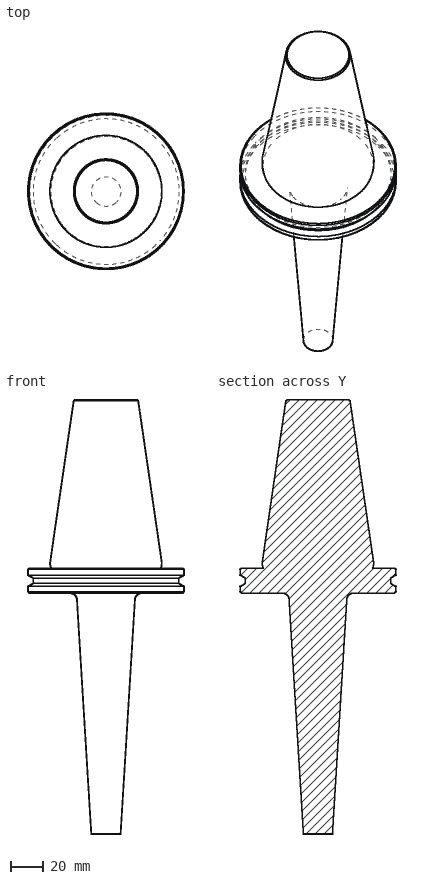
import cadquery as cq
import math

total_height = 270.8
gauge_height = 169.0
flange_top = 165.8
flange_bottom = 150.0

gauge_radius = 35.0
gauge_band = 0.8
collar_radius = 34.5
taper_ratio = 7 / 24
shank_chamfer = 0.8
shank_end_radius = gauge_radius - (total_height - gauge_height) * taper_ratio / 2

flange_radius = 48.8
flange_top_chamfer = 0.8
flange_bottom_chamfer = 1.0
groove_center = 158.0
groove_width = 7.0
groove_depth = 3.3
groove_wall_angle = 30.0
groove_floor_width = groove_width - 2 * groove_depth * math.tan(math.radians(groove_wall_angle))

nose_tip_radius = 9.2
nose_root_radius = 18.1
nose_fillet = 4.0
nose_root_height = flange_bottom - nose_fillet


def revolve_profile(profile):
    """Turn a closed radius-height outline around the Z axis."""
    return profile.close().revolve(360, (0, 0, 0), (0, 1, 0))


def make_shank():
    outline = (
        cq.Workplane("XZ")
        .moveTo(0, flange_bottom)
        .lineTo(collar_radius, flange_bottom)
        .lineTo(collar_radius, flange_top)
        .lineTo(gauge_radius, gauge_height - gauge_band)
        .lineTo(gauge_radius, gauge_height)
        .lineTo(shank_end_radius, total_height)
        .lineTo(0, total_height)
    )
    return revolve_profile(outline).faces(">Z").chamfer(shank_chamfer)


def make_flange():
    disc = (
        cq.Workplane("XY", origin=(0, 0, flange_bottom))
        .circle(flange_radius)
        .extrude(flange_top - flange_bottom)
        .faces(">Z")
        .chamfer(flange_top_chamfer)
        .faces("<Z")
        .chamfer(flange_bottom_chamfer)
    )
    floor_radius = flange_radius - groove_depth
    groove = (
        cq.Workplane("XZ")
        .moveTo(flange_radius, groove_center - groove_width / 2)
        .lineTo(floor_radius, groove_center - groove_floor_width / 2)
        .lineTo(floor_radius, groove_center + groove_floor_width / 2)
        .lineTo(flange_radius, groove_center + groove_width / 2)
    )
    return disc.cut(revolve_profile(groove))


def make_nose():
    arc_offset = nose_fillet * (1 - math.sqrt(0.5))
    outline = (
        cq.Workplane("XZ")
        .lineTo(nose_tip_radius, 0)
        .lineTo(nose_root_radius, nose_root_height)
        .threePointArc(
            (nose_root_radius + arc_offset, flange_bottom - arc_offset),
            (nose_root_radius + nose_fillet, flange_bottom),
        )
        .lineTo(0, flange_bottom)
    )
    return revolve_profile(outline)


result = make_flange().union(make_shank()).union(make_nose())